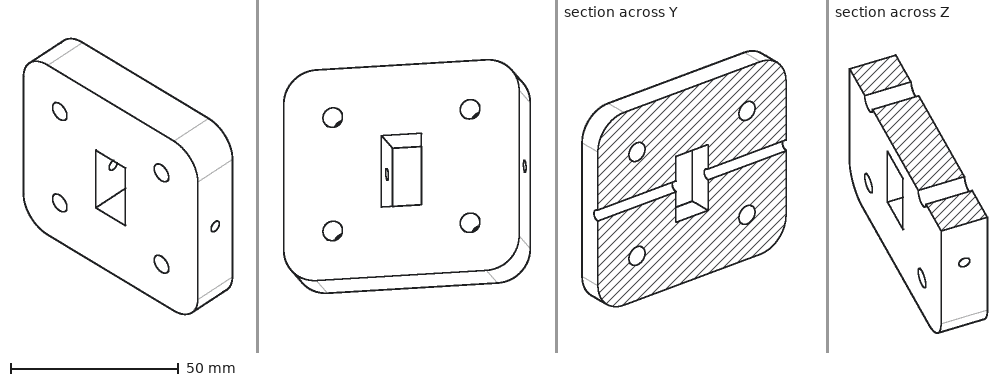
import cadquery as cq

plate_width = 72.0
plate_thickness = 15.0
plate_height = 65.0
corner_radius = 10.0

window_width = 12.2
window_height = 22.0

mount_hole_diameter = 6.0
mount_spacing_x = 42.0
mount_spacing_z = 35.0

cross_hole_diameter = 3.5
cross_hole_offset_z = 1.0


def make_plate():
    plate = cq.Workplane("XY").box(plate_width, plate_thickness, plate_height)
    return plate.edges("|Y").fillet(corner_radius)


def make_window():
    return cq.Workplane("XY").box(window_width, plate_thickness, window_height)


def make_mount_holes():
    return (
        cq.Workplane("XZ")
        .rect(mount_spacing_x, mount_spacing_z, forConstruction=True)
        .vertices()
        .circle(mount_hole_diameter / 2)
        .extrude(plate_thickness / 2, both=True)
    )


def make_cross_hole():
    return (
        cq.Workplane("YZ")
        .center(0, cross_hole_offset_z)
        .circle(cross_hole_diameter / 2)
        .extrude(plate_width / 2, both=True)
    )


result = make_plate().cut(make_window()).cut(make_mount_holes()).cut(make_cross_hole())